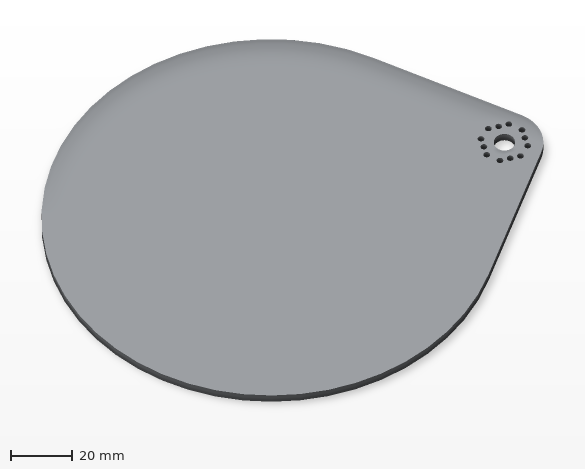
import cadquery as cq
import math

length = 169.4
thickness = 3.2
disc_radius = 74.9

tip_radius = 12.7
tip_x = -9.7
tip_y = length - disc_radius - tip_radius

pivot_diameter = 7.0
pin_diameter = 2.2
ring_half_width = 7.0
pin_pitch = ring_half_width / 2


def point_on_circle(center_x, center_y, radius, angle):
    return (center_x + radius * math.cos(angle), center_y + radius * math.sin(angle))


def make_plate():
    """Disc and tip circle joined by their two outer tangent lines, disc center at the origin."""
    center_distance = math.hypot(tip_x, tip_y)
    tip_direction = math.atan2(tip_y, tip_x)
    tangent_spread = math.acos((disc_radius - tip_radius) / center_distance)
    right_normal = tip_direction - tangent_spread
    left_normal = tip_direction + tangent_spread

    return (
        cq.Workplane("XY")
        .moveTo(*point_on_circle(0, 0, disc_radius, right_normal))
        .lineTo(*point_on_circle(tip_x, tip_y, tip_radius, right_normal))
        .threePointArc(
            point_on_circle(tip_x, tip_y, tip_radius, tip_direction),
            point_on_circle(tip_x, tip_y, tip_radius, left_normal),
        )
        .lineTo(*point_on_circle(0, 0, disc_radius, left_normal))
        .threePointArc(
            point_on_circle(0, 0, disc_radius, tip_direction + math.pi),
            point_on_circle(0, 0, disc_radius, right_normal),
        )
        .close()
        .extrude(thickness)
    )


def pin_positions():
    """Three pin holes along each side of a square around the pivot, with no corner holes."""
    positions = []
    for along in (-pin_pitch, 0, pin_pitch):
        for side in (-ring_half_width, ring_half_width):
            positions.append((tip_x + along, tip_y + side))
            positions.append((tip_x + side, tip_y + along))
    return positions


def make_through_holes(positions, diameter):
    return cq.Workplane("XY").pushPoints(positions).circle(diameter / 2).extrude(thickness)


pivot_hole = make_through_holes([(tip_x, tip_y)], pivot_diameter)
pin_holes = make_through_holes(pin_positions(), pin_diameter)
result = make_plate().cut(pivot_hole).cut(pin_holes)